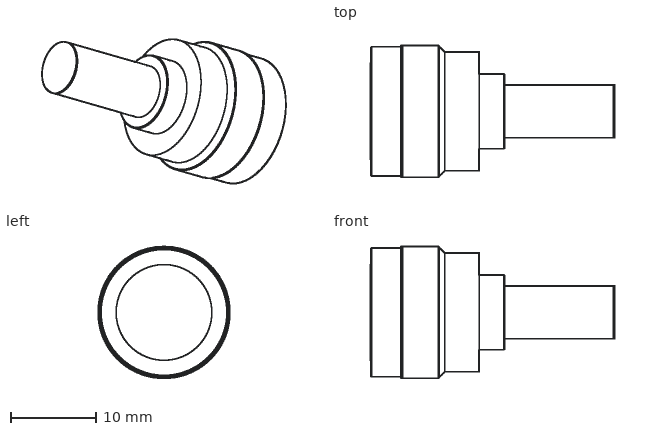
import cadquery as cq

TOTAL_LENGTH = 28.77
EDGE_CHAMFER = 0.1

SLEEVE_DIAMETER = 15.5
FRONT_RING_DIAMETER = 15.2
FRONT_BORE_DIAMETER = 14.8
WINDOW_DIAMETER = 11.25
BARREL_DIAMETER = 13.98
COLLAR_DIAMETER = 8.83
STEM_DIAMETER = 6.2

RING_FRONT_X = 0.1
FLANGE_FRONT_X = 3.6
SLEEVE_FRONT_X = 3.77
SLEEVE_REAR_X = 8.1
BARREL_STEP_X = 12.8
COLLAR_END_X = 15.8
CAP_THICKNESS = 0.2
CAP_FRONT_X = TOTAL_LENGTH - CAP_THICKNESS

SLEEVE_RADIUS = SLEEVE_DIAMETER / 2
SLEEVE_END_RADIUS = SLEEVE_RADIUS - EDGE_CHAMFER
RING_RADIUS = FRONT_RING_DIAMETER / 2
BORE_RADIUS = FRONT_BORE_DIAMETER / 2
BARREL_RADIUS = BARREL_DIAMETER / 2
COLLAR_RADIUS = COLLAR_DIAMETER / 2


def turned(profile):
    """Solid of revolution about X from a closed outline of (x, radius) points."""
    return cq.Workplane("XZ").polyline(profile).close().revolve(360, (0, 0, 0), (1, 0, 0))


def disc(diameter, start_x, end_x):
    """Plain cylinder along X between two positions."""
    return cq.Workplane("YZ").workplane(offset=start_x).circle(diameter / 2).extrude(end_x - start_x)


def make_front_ring():
    """Thin-walled ring, chamfered at the front, with a chamfered flange at its rear end."""
    return turned([
        (RING_FRONT_X, BORE_RADIUS),
        (RING_FRONT_X, RING_RADIUS - EDGE_CHAMFER),
        (RING_FRONT_X + EDGE_CHAMFER, RING_RADIUS),
        (FLANGE_FRONT_X, RING_RADIUS),
        (FLANGE_FRONT_X, SLEEVE_END_RADIUS),
        (FLANGE_FRONT_X + EDGE_CHAMFER, SLEEVE_RADIUS),
        (SLEEVE_FRONT_X, SLEEVE_RADIUS),
        (SLEEVE_FRONT_X, BORE_RADIUS),
    ])


def make_window():
    """Round window, standing slightly proud of the front ring."""
    return disc(WINDOW_DIAMETER, 0, SLEEVE_FRONT_X)


def make_window_mount():
    """Annulus that fills the space between the window and the front ring."""
    outer = disc(FRONT_BORE_DIAMETER, RING_FRONT_X, SLEEVE_FRONT_X)
    return outer.cut(disc(WINDOW_DIAMETER, RING_FRONT_X, SLEEVE_FRONT_X))


def make_sleeve():
    """Largest ring, chamfered at both ends, fitted over the barrel."""
    return turned([
        (SLEEVE_FRONT_X, BARREL_RADIUS),
        (SLEEVE_FRONT_X, SLEEVE_END_RADIUS),
        (SLEEVE_FRONT_X + EDGE_CHAMFER, SLEEVE_RADIUS),
        (SLEEVE_REAR_X - EDGE_CHAMFER, SLEEVE_RADIUS),
        (SLEEVE_REAR_X, SLEEVE_END_RADIUS),
        (SLEEVE_REAR_X, BARREL_RADIUS),
    ])


def make_barrel():
    """Solid barrel with a cone that continues the sleeve's rear chamfer, then a smaller collar."""
    cone_end_x = SLEEVE_REAR_X + SLEEVE_END_RADIUS - BARREL_RADIUS
    return turned([
        (SLEEVE_FRONT_X, 0),
        (SLEEVE_FRONT_X, BARREL_RADIUS),
        (SLEEVE_REAR_X, BARREL_RADIUS),
        (SLEEVE_REAR_X, SLEEVE_END_RADIUS),
        (cone_end_x, BARREL_RADIUS),
        (BARREL_STEP_X, BARREL_RADIUS),
        (BARREL_STEP_X, COLLAR_RADIUS),
        (COLLAR_END_X - EDGE_CHAMFER, COLLAR_RADIUS),
        (COLLAR_END_X, COLLAR_RADIUS - EDGE_CHAMFER),
        (COLLAR_END_X, 0),
    ])


def make_stem():
    """Long cylinder from the collar to the end cap."""
    return disc(STEM_DIAMETER, COLLAR_END_X, CAP_FRONT_X)


def make_end_cap():
    """Thin disc on the end of the stem."""
    return disc(STEM_DIAMETER, CAP_FRONT_X, TOTAL_LENGTH)


front_ring = make_front_ring()
window = make_window()
window_mount = make_window_mount()
sleeve = make_sleeve()
barrel = make_barrel()
stem = make_stem()
end_cap = make_end_cap()

result = cq.Compound.makeCompound([
    front_ring.val(),
    window.val(),
    window_mount.val(),
    sleeve.val(),
    barrel.val(),
    stem.val(),
    end_cap.val(),
])